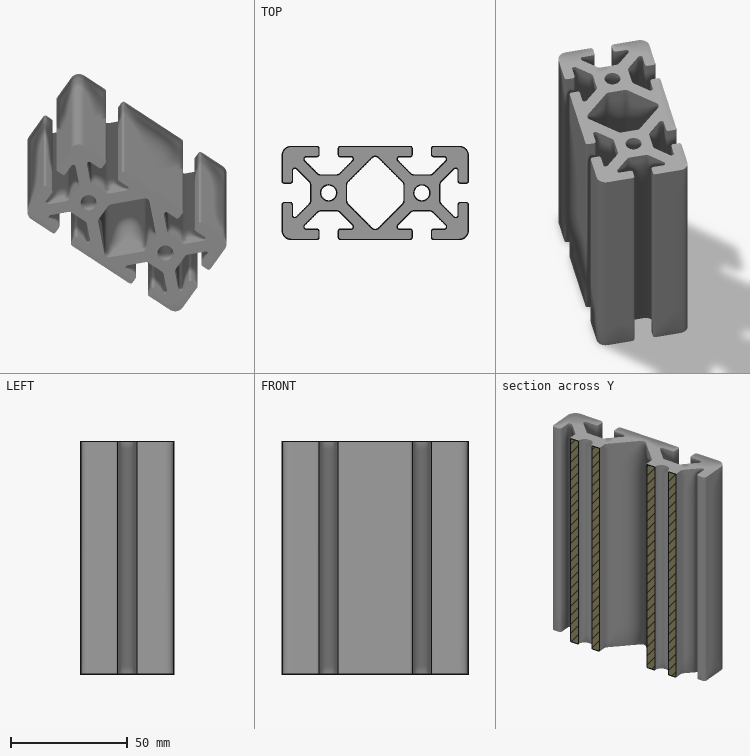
import cadquery as cq

length = 100.0
cell = 40.0
cell_count = 2
width = cell * cell_count
depth = cell

slot_opening = 8.2
lip_thickness = 4.5
slot_inner_width = 21.0

core_width = 15.5
web_offset = 3.5
bore_diameter = 6.8

outer_radius = 4.0
lip_radius = 1.0
slot_corner_radius = 0.8
core_corner_radius = 2.0
cavity_tip_radius = 2.0

half_cell = cell / 2
half_core = core_width / 2
half_core_flat = half_core - web_offset
lip_back = half_cell - lip_thickness

cell_centers = [(i - (cell_count - 1) / 2) * cell for i in range(cell_count)]

slots = [(x, turn) for x in cell_centers for turn in (0, 180)]
slots += [(cell_centers[0], 90), (cell_centers[-1], -90)]


def slot_cutter():
    """T-slot opening toward +Y in a cell centred on the origin."""
    half_inner = slot_inner_width / 2
    wall_start = half_inner + web_offset
    chamber = (
        cq.Workplane("XY")
        .polyline([
            (-half_core_flat, half_core),
            (half_core_flat, half_core),
            (half_inner, wall_start),
            (half_inner, lip_back),
            (-half_inner, lip_back),
            (-half_inner, wall_start),
        ])
        .close()
        .extrude(length)
    )
    chamber = chamber.edges("|Z and <Y").fillet(core_corner_radius)
    chamber = chamber.edges("|Z and (<X or >X)").fillet(slot_corner_radius)
    gap = (
        cq.Workplane("XY")
        .center(0, (lip_back + half_cell) / 2)
        .rect(slot_opening, lip_thickness)
        .extrude(length)
    )
    return chamber.union(gap)


def place_slot_item(item, center_x, turn):
    """Move an item made for a +Y slot to the slot with this cell and turn."""
    return item.rotate((0, 0, 0), (0, 0, 1), turn).translate((center_x, 0, 0))


def round_lips(body):
    """Fillet the front and back edges of both lips at every slot opening."""
    lip_corners = (
        cq.Workplane("XY", origin=(0, (lip_back + half_cell) / 2, length / 2))
        .rect(slot_opening, lip_thickness, forConstruction=True)
        .vertices()
    )
    edges = []
    for center_x, turn in slots:
        for corner in lip_corners.vals():
            spot = place_slot_item(corner, center_x, turn).toTuple()
            edges += body.edges(cq.NearestToPointSelector(spot)).vals()
    return body.newObject(edges).fillet(lip_radius)


def cavity_cutter(center_x):
    """Six-sided hollow between two neighbouring cores, bounded by their webs."""
    half_side = half_cell - half_core
    tip = half_cell - web_offset
    cavity = (
        cq.Workplane("XY")
        .polyline([
            (-half_side, -half_core_flat),
            (0, -tip),
            (half_side, -half_core_flat),
            (half_side, half_core_flat),
            (0, tip),
            (-half_side, half_core_flat),
        ])
        .close()
        .extrude(length)
    )
    cavity = cavity.edges("|Z and (<X or >X)").fillet(core_corner_radius)
    cavity = cavity.edges("|Z and (<Y or >Y)").fillet(cavity_tip_radius)
    return cavity.translate((center_x, 0, 0))


def bore_cutter():
    """Round bore through every core."""
    return (
        cq.Workplane("XY")
        .pushPoints([(x, 0) for x in cell_centers])
        .circle(bore_diameter / 2)
        .extrude(length)
    )


profile = cq.Workplane("XY").rect(width, depth).extrude(length)
profile = profile.edges("|Z").fillet(outer_radius)

cutter = slot_cutter()
for center_x, turn in slots:
    profile = profile.cut(place_slot_item(cutter, center_x, turn))
profile = round_lips(profile)

for center_x in cell_centers[:-1]:
    profile = profile.cut(cavity_cutter(center_x + half_cell))

result = profile.cut(bore_cutter())